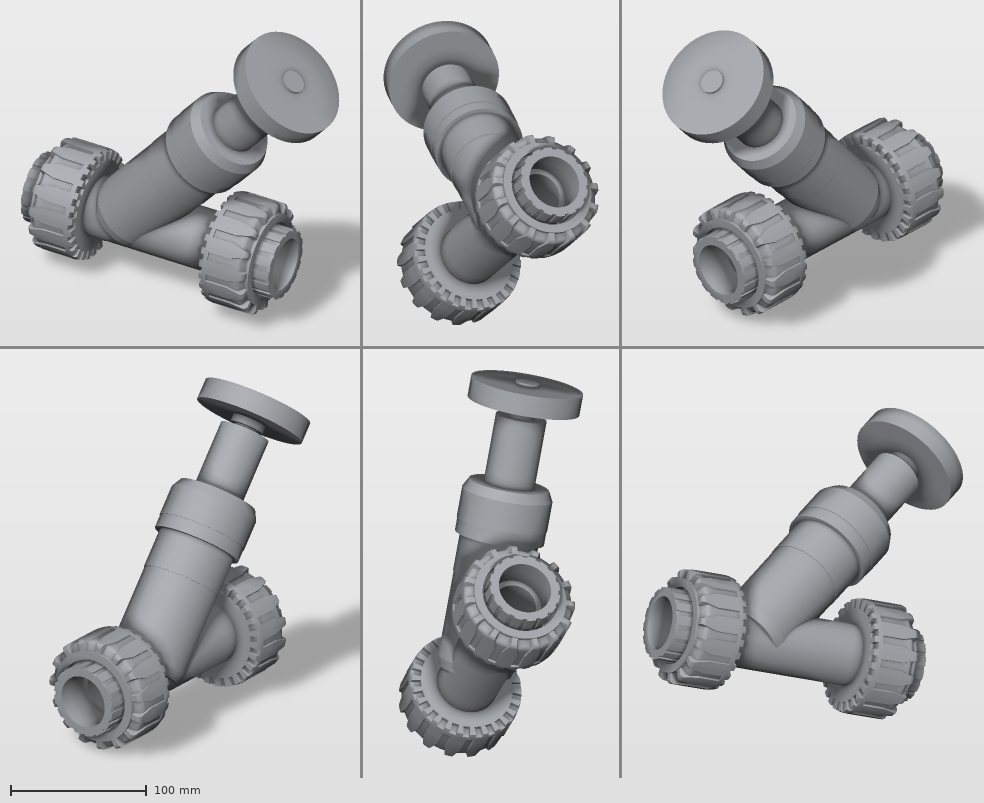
import cadquery as cq
import math

run_length = 207.0
pipe_radius = 46.0 / 2
bore_radius = 32.0 / 2

branch_lean = 50.0
branch_foot_x = -30.6
branch_start = -0.5
branch_taper_top = 6.9
branch_rim_start = 71.5
bonnet_start = 101.5
collar_band_top = 111.7
collar_bevel_start = 134.5
collar_top = 141.9
sleeve_top = 193.0
hub_start = 196.2
wheel_start = 202.0
wheel_top = 217.8
cap_top = 219.8

branch_foot_radius = 26.7
branch_radius = 57.8 / 2
branch_rim_radius = 29.5
collar_band_radius = 66.6 / 2
collar_radius = 33.8
collar_top_radius = 30.0
sleeve_radius = 38.0 / 2
neck_radius = 19.0 / 2
hub_radius = 26.0 / 2
wheel_radius = 42.0
cap_radius = 18.0 / 2

socket_radius = 40.0 / 2
connector_radius = 54.0 / 2
flute_count = 16
flute_depth = 1.2
flute_width = 3.7
flange_start = 18.4
flange_end = 27.0
collar_fit_radius = 70.3 / 2

nut_start = 12.5
nut_end = 50.2
nut_radius = 85.8 / 2
nut_mouth_radius = 57.8 / 2
nut_nose_radius = 70.5 / 2
nut_nose_end = 15.2
valley_cone_end = 17.5
valley_cone_radius = 39.5
valley_start = 20.3
valley_radius = 41.5
rib_start = 13.5
rib_round = 3.5
rib_count = 15
rib_tip_half_width = 2.08
rib_mid_x = 20.3
rib_mid_half_width = 4.29
rib_flare_end = 26.7
rib_half_width = 6.0
ring_start = 43.9
notch_start = 47.3
notch_count = 26
nut_rear_radius = 42.0


def turned(outline):
    """Solid of revolution about the X axis of a closed (station, radius) outline."""
    return cq.Workplane("XY").polyline(outline).close().revolve(360, (0, 0), (1, 0))


def rod(start, end, radius):
    return cq.Workplane("YZ").workplane(offset=start).circle(radius).extrude(end - start)


def on_branch(shape):
    """Carry a shape turned about +X onto the leaning branch axis."""
    return shape.rotate((0, 0, 0), (0, 1, 0), -branch_lean).translate((branch_foot_x, 0, 0))


def around(shape, count, first_angle=0.0):
    """Copies of a shape spaced evenly about the X axis."""
    pitch = 360.0 / count
    return [shape.rotate((0, 0, 0), (1, 0, 0), first_angle + i * pitch) for i in range(count)]


def make_body():
    half_pipe = run_length / 2 - flange_end
    collar_length = nut_end - flange_end
    pipe = rod(-half_pipe, half_pipe, pipe_radius)
    left_collar = rod(-half_pipe, -half_pipe + collar_length, collar_fit_radius)
    right_collar = rod(half_pipe - collar_length, half_pipe, collar_fit_radius)
    branch = turned([
        (branch_start, 0),
        (branch_start, branch_foot_radius),
        (branch_taper_top, branch_radius),
        (branch_rim_start, branch_radius),
        (branch_rim_start, branch_rim_radius),
        (bonnet_start, branch_rim_radius),
        (bonnet_start, 0),
    ])
    body = pipe.union(left_collar).union(right_collar).union(on_branch(branch))
    return body.cut(rod(-half_pipe, half_pipe, bore_radius))


def make_bonnet():
    return on_branch(turned([
        (bonnet_start, 0),
        (bonnet_start, collar_band_radius),
        (collar_band_top, collar_band_radius),
        (collar_band_top, collar_radius),
        (collar_bevel_start, collar_radius),
        (collar_top, collar_top_radius),
        (collar_top, sleeve_radius),
        (sleeve_top, sleeve_radius),
        (sleeve_top, neck_radius),
        (hub_start, neck_radius),
        (hub_start, hub_radius),
        (wheel_start, hub_radius),
        (wheel_start, wheel_radius),
        (wheel_top, wheel_radius),
        (wheel_top, cap_radius),
        (cap_top, cap_radius),
        (cap_top, 0),
    ]))


def make_connector():
    tube = rod(0, flange_start, connector_radius)
    flute = (
        cq.Workplane("XY")
        .box(flange_start, 2 * flute_depth, flute_width, centered=(False, True, True))
        .translate((0, -connector_radius, 0))
    )
    for cutter in around(flute, flute_count):
        tube = tube.cut(cutter)
    flange = rod(flange_start, flange_end, collar_fit_radius)
    return tube.union(flange).cut(rod(0, flange_end, socket_radius))


def make_nut_core():
    """Nut blank at the depth of the valleys between the ribs, full size at its rear ring."""
    rear_length = nut_end - ring_start
    rear_drop = nut_radius - nut_rear_radius
    rear_round = (rear_length**2 + rear_drop**2) / (2 * rear_drop)
    return (
        cq.Workplane("XY")
        .moveTo(nut_start, 0)
        .lineTo(nut_start, nut_nose_radius)
        .lineTo(nut_nose_end, nut_nose_radius)
        .lineTo(valley_cone_end, valley_cone_radius)
        .tangentArcPoint((valley_start, valley_radius), relative=False)
        .lineTo(ring_start, valley_radius)
        .lineTo(ring_start, nut_radius)
        .radiusArc((nut_end, nut_rear_radius), rear_round)
        .lineTo(nut_end, 0)
        .close()
        .revolve(360, (0, 0), (1, 0))
    )


def make_rib():
    """One grip rib on the -Y side: a petal outline kept inside the turned outer shape."""
    petal = (
        cq.Workplane("XZ")
        .moveTo(rib_start, -rib_tip_half_width)
        .threePointArc((rib_mid_x, -rib_mid_half_width), (rib_flare_end, -rib_half_width))
        .lineTo(ring_start, -rib_half_width)
        .lineTo(ring_start, rib_half_width)
        .lineTo(rib_flare_end, rib_half_width)
        .threePointArc((rib_mid_x, rib_mid_half_width), (rib_start, rib_tip_half_width))
        .close()
        .extrude(nut_radius)
    )
    envelope = (
        cq.Workplane("XY")
        .moveTo(rib_start, collar_fit_radius)
        .lineTo(rib_start, nut_radius - rib_round)
        .radiusArc((rib_start + rib_round, nut_radius), rib_round)
        .lineTo(ring_start, nut_radius)
        .lineTo(ring_start, collar_fit_radius)
        .close()
        .revolve(360, (0, 0), (1, 0))
    )
    return petal.intersect(envelope)


def make_nut():
    rib_pitch = 360.0 / rib_count
    nut = make_nut_core()
    for rib in around(make_rib(), rib_count, rib_pitch / 2):
        nut = nut.union(rib)
    notch_width = math.pi * nut_radius / notch_count
    notch = (
        cq.Workplane("XY")
        .box(nut_end - notch_start, nut_radius - collar_fit_radius, notch_width, centered=(False, False, True))
        .translate((notch_start, -nut_radius, 0))
    )
    notch_pitch = 360.0 / notch_count
    for cutter in around(notch, notch_count, notch_pitch / 2):
        nut = nut.cut(cutter)
    return nut.cut(rod(nut_start, flange_start, nut_mouth_radius)).cut(
        rod(flange_start, nut_end, collar_fit_radius)
    )


def at_both_ends(shape):
    """A shape built inward from the origin, placed at the -X end and mirrored at the +X end."""
    left = shape.translate((-run_length / 2, 0, 0))
    return [left.val(), left.mirror("YZ").val()]


body = make_body()
bonnet = make_bonnet()
connectors = at_both_ends(make_connector())
nuts = at_both_ends(make_nut())

result = cq.Compound.makeCompound([body.val(), bonnet.val(), *connectors, *nuts])